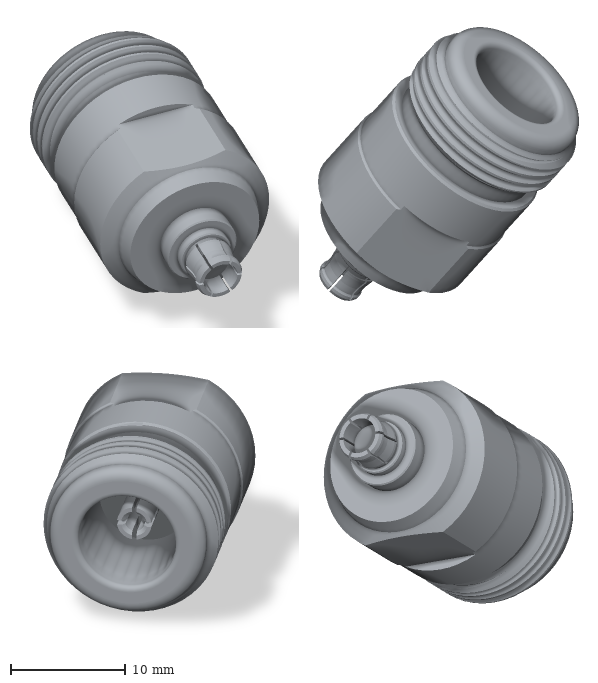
import cadquery as cq
import math

LENGTH = 27.5

NOSE_R = 6.93
NOSE_ROUND = 1.0
THREAD_R = 7.85
THREAD_START = 1.48
THREAD_END = 6.5
THREAD_LEAD_IN = THREAD_R - NOSE_R
THREAD_ROOT_R = 7.3
THREAD_PITCH = 1.06
ROOT_FLAT = 0.2
FLANK_ANGLE = 30
THREAD_TURNS = 6
GROOVE_CLEARANCE = 0.16
GROOVE_AT_TOP = 2.45

COLLAR_START = 7.98
COLLAR_CHAMFER = 0.2
BODY_R = 8.0
BODY_START = 12.95
BODY_LEAD = 0.2
TAPER_START = 19.17
TAPER_END = 20.02
TAPER_END_R = 6.6
BODY_END = 21.5
BODY_END_R = 6.1
FLAT_HEIGHT = 7.0
FLAT_START = 12.45

BOSS_R = 3.27
BOSS_END = 23.26
STEP_R = 2.4
STEP_END = 24.1
STEP_CHAMFER = 0.1

COLLET_R = 1.98
COLLET_RIB_R = 2.15
RIB_START = 24.65
RIB_FLAT_END = 24.92
RIB_TAPER_END = 25.9
LIP_START = 26.7
LIP_FLAT_START = 26.87
LIP_FLAT_END = 27.17
COLLET_BORE_R = 1.6
COLLET_BORE_START = 25.45
COLLET_SLOT_START = 24.23
COLLET_SLOT_WIDTH = 0.22
COLLET_SLOT_COUNT = 6

BORE_MOUTH_R = 4.35
BORE_ROUND = 0.5
BORE_FLOOR_R = 4.05
BORE_DEPTH = 9.08

CONTACT_R = 1.55
CONTACT_TIP = 3.85
CONTACT_EMBED = 0.28
CONTACT_HOLE_R = 0.85
CONTACT_CHAMFER = 0.3
CONTACT_HOLE_DEPTH = 3.85
CONTACT_POINT_ANGLE = 118
CONTACT_SLOT_WIDTH = 0.4
CONTACT_SLOT_DEPTH = 3.3


def revolve_about_x(profile):
    return profile.close().revolve(360, (0, 0, 0), (1, 0, 0))


def arc_middle(center_x, center_r, radius, direction):
    """Midpoint of a quarter round; direction holds the signs along x and along the radius."""
    offset = radius * math.sqrt(0.5)
    return (center_x + direction[0] * offset, center_r + direction[1] * offset)


def slab(start, end, height, width):
    """Box centred on the X axis between two x positions; height is along Y, width along Z."""
    return cq.Workplane("YZ").workplane(offset=start).rect(height, width).extrude(end - start)


def make_body():
    mouth_rim_r = BORE_MOUTH_R + BORE_ROUND
    face_rim_r = NOSE_R - NOSE_ROUND
    profile = (
        cq.Workplane("XY")
        .moveTo(BORE_DEPTH, 0)
        .lineTo(BORE_DEPTH, BORE_FLOOR_R)
        .lineTo(BORE_ROUND, BORE_MOUTH_R)
        .threePointArc(arc_middle(BORE_ROUND, mouth_rim_r, BORE_ROUND, (-1, -1)), (0, mouth_rim_r))
        .lineTo(0, face_rim_r)
        .threePointArc(arc_middle(NOSE_ROUND, face_rim_r, NOSE_ROUND, (-1, 1)), (NOSE_ROUND, NOSE_R))
        .lineTo(THREAD_START, NOSE_R)
        .lineTo(THREAD_START + THREAD_LEAD_IN, THREAD_R)
        .lineTo(THREAD_END - THREAD_LEAD_IN, THREAD_R)
        .lineTo(THREAD_END, NOSE_R)
        .lineTo(COLLAR_START, NOSE_R)
        .lineTo(COLLAR_START, THREAD_R - COLLAR_CHAMFER)
        .lineTo(COLLAR_START + COLLAR_CHAMFER, THREAD_R)
        .lineTo(BODY_START, THREAD_R)
        .lineTo(BODY_START + BODY_LEAD, BODY_R)
        .lineTo(TAPER_START, BODY_R)
        .lineTo(TAPER_END, TAPER_END_R)
        .lineTo(BODY_END, BODY_END_R)
        .lineTo(BODY_END, BOSS_R)
        .lineTo(BOSS_END - STEP_CHAMFER, BOSS_R)
        .lineTo(BOSS_END, BOSS_R - STEP_CHAMFER)
        .lineTo(BOSS_END, STEP_R)
        .lineTo(STEP_END - STEP_CHAMFER, STEP_R)
        .lineTo(STEP_END, STEP_R - STEP_CHAMFER)
        .lineTo(STEP_END, COLLET_R)
        .lineTo(RIB_START, COLLET_R)
        .lineTo(RIB_START, COLLET_RIB_R)
        .lineTo(RIB_FLAT_END, COLLET_RIB_R)
        .lineTo(RIB_TAPER_END, COLLET_R)
        .lineTo(LIP_START, COLLET_R)
        .lineTo(LIP_FLAT_START, COLLET_RIB_R)
        .lineTo(LIP_FLAT_END, COLLET_RIB_R)
        .lineTo(LENGTH, COLLET_R)
        .lineTo(LENGTH, COLLET_BORE_R)
        .lineTo(COLLET_BORE_START, COLLET_BORE_R)
        .lineTo(COLLET_BORE_START, 0)
    )
    return revolve_about_x(profile)


def make_thread_groove():
    """Right-hand helical groove that runs out through the lead-in cone at each end."""
    first_groove = GROOVE_AT_TOP - THREAD_PITCH
    clearance_r = THREAD_R + GROOVE_CLEARANCE
    half_root = ROOT_FLAT / 2
    half_mouth = half_root + (clearance_r - THREAD_ROOT_R) * math.tan(math.radians(FLANK_ANGLE))
    helix = cq.Wire.makeHelix(THREAD_PITCH, THREAD_TURNS * THREAD_PITCH, THREAD_ROOT_R)
    groove = (
        cq.Workplane("XZ")
        .moveTo(THREAD_ROOT_R, -half_root)
        .lineTo(clearance_r, -half_mouth)
        .lineTo(clearance_r, half_mouth)
        .lineTo(THREAD_ROOT_R, half_root)
        .close()
        .sweep(cq.Workplane(helix), isFrenet=True)
    )
    groove = groove.rotate((0, 0, 0), (0, 1, 0), 90).rotate((0, 0, 0), (1, 0, 0), 180)
    return groove.translate((first_groove, 0, 0))


def cut_wrench_flats(body):
    flat_length = BODY_END - FLAT_START
    cut_depth = 2 * (BODY_R - FLAT_HEIGHT)
    for side in (1, -1):
        cutter = cq.Workplane("XY").box(flat_length, 2 * BODY_R, cut_depth)
        center = (FLAT_START + flat_length / 2, 0, side * (FLAT_HEIGHT + cut_depth / 2))
        body = body.cut(cutter.translate(center))
    return body


def cut_collet_slots(body):
    slots = slab(COLLET_SLOT_START, LENGTH, 2 * STEP_R, COLLET_SLOT_WIDTH)
    core = cq.Workplane("YZ").workplane(offset=COLLET_SLOT_START).circle(COLLET_BORE_R)
    core = core.extrude(LENGTH - COLLET_SLOT_START)
    slots = slots.cut(core)
    for index in range(COLLET_SLOT_COUNT // 2):
        angle = index * 360 / COLLET_SLOT_COUNT
        body = body.cut(slots.rotate((0, 0, 0), (1, 0, 0), angle))
    return body


def make_contact():
    hole_end = CONTACT_TIP + CONTACT_HOLE_DEPTH
    point_length = CONTACT_HOLE_R / math.tan(math.radians(CONTACT_POINT_ANGLE / 2))
    root = BORE_DEPTH + CONTACT_EMBED
    profile = (
        cq.Workplane("XY")
        .moveTo(root, 0)
        .lineTo(root, CONTACT_R)
        .lineTo(CONTACT_TIP, CONTACT_R)
        .lineTo(CONTACT_TIP, CONTACT_HOLE_R + CONTACT_CHAMFER)
        .lineTo(CONTACT_TIP + CONTACT_CHAMFER, CONTACT_HOLE_R)
        .lineTo(hole_end, CONTACT_HOLE_R)
        .lineTo(hole_end + point_length, 0)
    )
    contact = revolve_about_x(profile)
    slot_end = CONTACT_TIP + CONTACT_SLOT_DEPTH
    contact = contact.cut(slab(CONTACT_TIP, slot_end, CONTACT_SLOT_WIDTH, 2.5 * CONTACT_R))
    return contact.cut(slab(CONTACT_TIP, slot_end, 2.5 * CONTACT_R, CONTACT_SLOT_WIDTH))


adapter = make_body()
adapter = cut_wrench_flats(adapter)
adapter = adapter.cut(make_thread_groove())
adapter = cut_collet_slots(adapter)
result = adapter.union(make_contact())